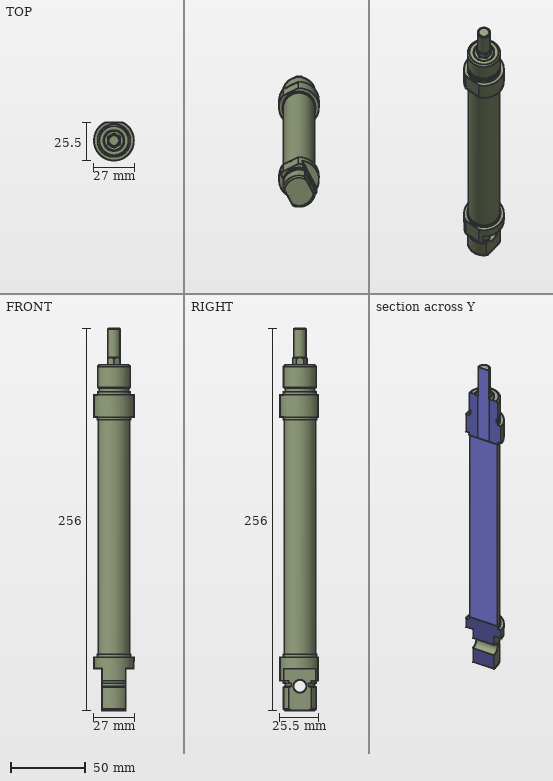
import cadquery as cq
import math

total_length = 256.0
rear_collar_top = 37.6
front_collar_bottom = 194.8

barrel_diameter = 21.2

flange_diameter = 27.0
flange_depth = 25.5
flange_flat_offset = flange_depth - flange_diameter / 2
collar_diameter = 22.3
collar_height = 1.8
nose_diameter = 22.0
nose_chamfer = 1.3
nose_taper_height = 0.8
neck_diameter = 19.7

front_cap_top = 231.7
front_flange_height = 14.8
front_land_height = 2.0
front_neck_height = 2.3
recess_top_diameter = 14.0
recess_floor_diameter = 12.8
recess_depth = 0.5

rear_flange_height = 16.0
rear_land_height = 1.5
rear_neck_height = 2.0
tang_width = 16.0
tang_height = 28.2
pivot_hole_diameter = 8.5
pivot_hole_height = 16.5

rod_diameter = 8.5
rod_tip_diameter = 7.0
rod_tip_height = 0.5
hex_across_flats = 8.5
hex_chamfer_height = 1.0
thread_length = 19.5
hex_bottom = front_cap_top - recess_depth
hex_top = total_length - thread_length


def disc(diameter, bottom, height):
    return cq.Workplane("XY").workplane(offset=bottom).circle(diameter / 2).extrude(height)


def cone(bottom_diameter, top_diameter, bottom, height):
    return (
        cq.Workplane("XY", origin=(0, 0, bottom))
        .circle(bottom_diameter / 2)
        .workplane(offset=height)
        .circle(top_diameter / 2)
        .loft()
    )


def flange(bottom, height):
    """Round flange with one flat on its +Y side."""
    side_cut = (
        cq.Workplane("XY", origin=(0, flange_flat_offset, bottom))
        .rect(flange_diameter, flange_diameter)
        .extrude(height)
        .translate((0, flange_diameter / 2, 0))
    )
    return disc(flange_diameter, bottom, height).cut(side_cut)


def make_barrel():
    return disc(barrel_diameter, rear_collar_top, front_collar_bottom - rear_collar_top)


def make_front_cap():
    flange_bottom = front_collar_bottom + collar_height
    land_bottom = flange_bottom + front_flange_height
    neck_bottom = land_bottom + front_land_height
    nose_bottom = neck_bottom + front_neck_height

    taper_top = nose_bottom + nose_taper_height
    taper = cone(neck_diameter, nose_diameter, nose_bottom, nose_taper_height)
    nose = disc(nose_diameter, taper_top, front_cap_top - taper_top)
    nose = nose.faces(">Z").edges().chamfer(nose_chamfer)
    cap = (
        disc(collar_diameter, front_collar_bottom, collar_height)
        .union(flange(flange_bottom, front_flange_height))
        .union(disc(nose_diameter, land_bottom, front_land_height))
        .union(disc(neck_diameter, neck_bottom, front_neck_height))
        .union(taper)
        .union(nose)
    )
    recess = cone(recess_floor_diameter, recess_top_diameter, hex_bottom, recess_depth)
    rod_bore = disc(rod_diameter, front_collar_bottom, hex_bottom - front_collar_bottom)
    return cap.cut(recess).cut(rod_bore)


def make_rear_cap():
    flange_bottom = rear_collar_top - collar_height - rear_flange_height
    land_bottom = flange_bottom - rear_land_height
    neck_bottom = land_bottom - rear_neck_height

    taper_bottom = neck_bottom - nose_taper_height
    taper = cone(nose_diameter, neck_diameter, taper_bottom, nose_taper_height)
    nose = disc(nose_diameter, 0, taper_bottom)
    nose = nose.faces("<Z").edges().chamfer(nose_chamfer)
    cap = (
        nose
        .union(taper)
        .union(disc(neck_diameter, neck_bottom, rear_neck_height))
        .union(disc(nose_diameter, land_bottom, rear_land_height))
        .union(flange(flange_bottom, rear_flange_height))
        .union(disc(collar_diameter, rear_collar_top - collar_height, collar_height))
    )
    tang_envelope = cq.Workplane("XY").rect(tang_width, flange_diameter).extrude(tang_height)
    beside_tang = (
        cq.Workplane("XY")
        .rect(2 * flange_diameter, 2 * flange_diameter)
        .extrude(tang_height)
        .cut(tang_envelope)
    )
    pivot_hole = (
        cq.Workplane("YZ", origin=(0, 0, pivot_hole_height))
        .circle(pivot_hole_diameter / 2)
        .extrude(tang_width, both=True)
    )
    return cap.cut(beside_tang).cut(pivot_hole)


def make_rod():
    """Plain shank in the front cap, wrench hexagon with corners on Y, then the end thread."""
    shank = disc(rod_diameter, front_collar_bottom, hex_bottom - front_collar_bottom)
    hexagon = (
        cq.Workplane("XY", origin=(0, 0, hex_bottom))
        .polygon(6, hex_across_flats, circumscribed=True)
        .extrude(hex_top - hex_bottom)
    )
    hex_corner_diameter = hex_across_flats / math.cos(math.pi / 6)
    chamfer_bottom = hex_top - hex_chamfer_height
    corner_envelope = disc(hex_corner_diameter, hex_bottom, chamfer_bottom - hex_bottom).union(
        cone(hex_corner_diameter, rod_diameter, chamfer_bottom, hex_chamfer_height)
    )
    thread = disc(rod_diameter, hex_top, thread_length - rod_tip_height)
    tip = cone(rod_diameter, rod_tip_diameter, total_length - rod_tip_height, rod_tip_height)
    return shank.union(hexagon.intersect(corner_envelope)).union(thread).union(tip)


barrel = make_barrel()
front_cap = make_front_cap()
rear_cap = make_rear_cap()
rod = make_rod()

result = cq.Compound.makeCompound([barrel.val(), front_cap.val(), rear_cap.val(), rod.val()])